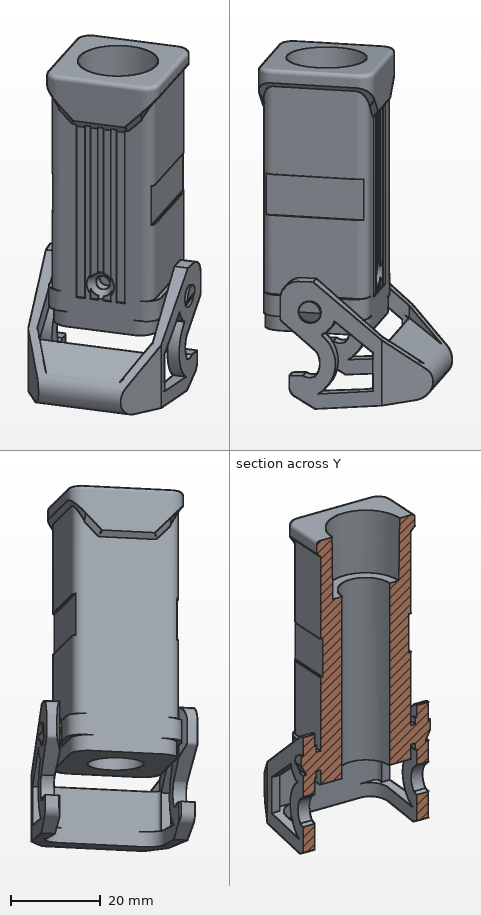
import cadquery as cq
import math

HOOD_HEIGHT = 60.4
BODY_WIDTH = 24.25
BODY_CORNER = 2.6

CAP_WIDTH = 26.4
CAP_CORNER = 3.4
CAP_TOP_ROUND = 1.0
CAP_SIDE_BOTTOM = 57.4
CAP_APRON_BOTTOM = 50.3
CAP_OVERHANG = (CAP_WIDTH - BODY_WIDTH) / 2
BEVEL_SLOPE = 1.2
BEVEL_OVERLAP = 1.5
CORNER_SECTIONS = 4

BLOCK_WIDTH = 26.3
BLOCK_BOTTOM = 3.6
BLOCK_TOP = 8.45
BLOCK_CORNER = 3.6
FOOT_CORNER = 4.15

BAND_BOTTOM = 26.55
BAND_TOP = 36.0
BAND_DEPTH = 0.5

RIB_WIDTH = 1.2
RIB_PITCH = 3.1
RIB_COUNT = 3
GROOVED_WIDTH = 11.5
GROOVE_BOTTOM = 7.4
GROOVE_DEPTH = 0.45

SCREW_HEIGHT = 11.0
SCREW_HEAD_RADIUS = 3.2
SCREW_RADIUS = 1.6
COUNTERSINK_DEPTH = 1.7
SCREW_DEPTH = 4.2

CABLE_RADIUS = 6.3
ENTRY_TOP_RADIUS = 9.0
ENTRY_FLOOR_RADIUS = 8.75
ENTRY_DEPTH = 15.35

PIVOT_HEIGHT = 6.0
WASHER_RADIUS = 4.0
PIN_RADIUS = 2.5
PIN_HALF_LENGTH = 17.3
PIN_FACE_TILT = 27.0

LATCH_REAR = 6.7
LATCH_FRONT = -26.55
LATCH_REAR_HALF_WIDTH = 17.3
LATCH_KNEE = -16.2
LATCH_KNEE_HALF_WIDTH = 15.65
LATCH_FRONT_HALF_WIDTH = 9.7
ARM_INSIDE = 13.6
LEAD_IN_LENGTH = 2.9
LEAD_IN_WIDTH = 1.3

LATCH_TOP = 13.0
TOP_EDGE_Y = -0.8
LATCH_TOP_ROUND = 4.15
LATCH_SLOPE = 0.83
ARM_REAR_LOW = 3.9
ARM_REAR_ROUND = 0.9
ARM_SLOPE = 0.80
TIP_ROUND = 3.9

HOOK_Y = 2.6
HOOK_Z = -5.75
HOOK_INSIDE_RADIUS = 4.8
HOOK_OUTSIDE_RADIUS = 8.4
HOOK_START_Y = -1.4
LIP_START_Y = -1.15
HOOK_END = 4.7
LIP_TOP = -8.9
LIP_DIP = (0.0, -9.1)
LIP_CREST = (1.5, -8.75)
LIP_BOTTOM = -12.9
LIP_ROUND = 2.7
HEEL_Y = -1.2
HEEL_Z = -16.35
BASE_SLOPE = 0.093

WINDOW_FRONT = -14.2
WINDOW_TOP_Y = -5.5
WINDOW_HOOK_Y = -2.7
WINDOW_HEEL_Y = -1.85
WINDOW_PIVOT_RADIUS = 5.8
BASE_BAR_HEIGHT = 3.45

WEB_REAR = -15.8
WEB_FRONT = -24.25
WEB_REAR_HEIGHT = -2.3
POCKET_FRONT_HALF_WIDTH = 8.7
WEB_CORNER = 0.9
BASE_CORNER = 4.5

LONG = 4 * HOOD_HEIGHT


def rounded_box(width_x, width_y, corner, bottom, top):
    """Upright box on the centre line with rounded vertical edges."""
    box = cq.Workplane("XY").workplane(offset=bottom).rect(width_x, width_y).extrude(top - bottom)
    return box.edges("|Z").fillet(corner)


def mirrored_outline(right_side):
    """Closed XY outline from its +X points, listed from rear to front."""
    left_side = [(-x, y) for x, y in reversed(right_side)]
    return cq.Workplane("XY").polyline(right_side + left_side).close()


def through_all(outline):
    """Extrude an outline both ways, far enough to pass right through the part."""
    return outline.extrude(LONG / 2, both=True)


def rim_height(x):
    """Height of the cap's lower rim, which falls at 45 degrees from each side to the apron."""
    return max(CAP_APRON_BOTTOM, CAP_SIDE_BOTTOM - (CAP_WIDTH / 2 - abs(x)))


def rim_outline(workplane):
    """Front outline of the cap and its aprons."""
    half = CAP_WIDTH / 2
    apron_half = half - (CAP_SIDE_BOTTOM - CAP_APRON_BOTTOM)
    return workplane.polyline([
        (half, HOOD_HEIGHT),
        (half, CAP_SIDE_BOTTOM),
        (apron_half, CAP_APRON_BOTTOM),
        (-apron_half, CAP_APRON_BOTTOM),
        (-half, CAP_SIDE_BOTTOM),
        (-half, HOOD_HEIGHT),
    ]).close()


def make_apron_bevel():
    """Bevel that leads the flat front of the apron down and in to the groove floors."""
    depth = CAP_OVERHANG + GROOVE_DEPTH
    spread = math.degrees(math.atan(BEVEL_SLOPE))
    front = cq.Workplane("XZ", origin=(0, -CAP_WIDTH / 2, 0))
    bevel = rim_outline(front).extrude(-depth, taper=-spread)
    flat_width = CAP_WIDTH - 2 * CAP_CORNER
    limits = cq.Workplane("XY").box(flat_width, LONG, HOOD_HEIGHT - CAP_TOP_ROUND, (True, True, False))
    return bevel.intersect(limits)


def make_corner_bevel():
    """Twisting bevel round the +X -Y corner, from nothing at the side to the full apron bevel."""
    cap_centre = CAP_WIDTH / 2 - CAP_CORNER
    body_centre = BODY_WIDTH / 2 - BODY_CORNER
    full_drop = CAP_OVERHANG * BEVEL_SLOPE * math.sqrt(2)
    sections = []
    for i in range(CORNER_SECTIONS):
        angle = math.pi / 2 * i / (CORNER_SECTIONS - 1)
        across, along = math.cos(angle), math.sin(angle)
        rim_x = cap_centre + CAP_CORNER * across
        rim = cq.Vector(rim_x, -cap_centre - CAP_CORNER * along, rim_height(rim_x))
        body_x = body_centre + BODY_CORNER * across
        body_z = rim_height(body_x) - full_drop * (1 - across)
        foot = cq.Vector(body_x, -body_centre - BODY_CORNER * along, body_z)
        embedded = rim + (foot - rim) * BEVEL_OVERLAP
        above = cq.Vector(embedded.x, embedded.y, rim.z)
        sections.append(cq.Wire.makePolygon([rim, embedded, above], close=True))
    return cq.Workplane(cq.Solid.makeLoft(sections))


def make_cap():
    """Collar with a rounded top, and bevelled aprons hanging down at the front and back."""
    collar = rounded_box(CAP_WIDTH, CAP_WIDTH, CAP_CORNER, CAP_APRON_BOTTOM, HOOD_HEIGHT)
    collar = collar.faces(">Z").edges().fillet(CAP_TOP_ROUND)
    collar = collar.intersect(through_all(rim_outline(cq.Workplane("XZ"))))
    corner = make_corner_bevel()
    bevel = make_apron_bevel().union(corner).union(corner.mirror("YZ"))
    return collar.union(bevel).union(bevel.mirror("XZ"))


def make_shell():
    foot = rounded_box(BODY_WIDTH, BODY_WIDTH, FOOT_CORNER, 0, BLOCK_BOTTOM)
    block = rounded_box(BLOCK_WIDTH, BODY_WIDTH, BLOCK_CORNER, BLOCK_BOTTOM, BLOCK_TOP)
    body = rounded_box(BODY_WIDTH, BODY_WIDTH, BODY_CORNER, BLOCK_TOP, HOOD_HEIGHT - CAP_TOP_ROUND)
    for side in (-1, 1):
        flat = cq.Workplane("XY").box(2 * BAND_DEPTH, BODY_WIDTH, BAND_TOP - BAND_BOTTOM)
        body = body.cut(flat.translate((side * BODY_WIDTH / 2, 0, (BAND_TOP + BAND_BOTTOM) / 2)))
    return foot.union(block).union(body)


def make_grooves():
    """Grooved panel on the -Y face, less the ribs left standing in it."""
    height = CAP_APRON_BOTTOM - GROOVE_BOTTOM
    depth = 2 * GROOVE_DEPTH
    grooves = cq.Workplane("XY").box(GROOVED_WIDTH, depth, height)
    for i in range(RIB_COUNT):
        rib_x = (i - (RIB_COUNT - 1) / 2) * RIB_PITCH
        rib = cq.Workplane("XY").box(RIB_WIDTH, depth, height).translate((rib_x, 0, 0))
        grooves = grooves.cut(rib)
    return grooves.translate((0, -BODY_WIDTH / 2, GROOVE_BOTTOM + height / 2))


def make_screw_hole():
    """Blind countersunk hole entering the -Y face."""
    half_section = cq.Workplane("XY").polyline([
        (0, 0),
        (SCREW_HEAD_RADIUS, 0),
        (SCREW_RADIUS, COUNTERSINK_DEPTH),
        (SCREW_RADIUS, SCREW_DEPTH),
        (0, SCREW_DEPTH),
    ]).close()
    hole = half_section.revolve(360, (0, 0, 0), (0, 1, 0))
    return hole.translate((0, -BODY_WIDTH / 2, SCREW_HEIGHT))


def make_cable_bore():
    """Straight bore through the hood with a wider, slightly tapered entry at the top."""
    floor = HOOD_HEIGHT - ENTRY_DEPTH
    half_section = cq.Workplane("XZ").polyline([
        (0, 0),
        (CABLE_RADIUS, 0),
        (CABLE_RADIUS, floor),
        (ENTRY_FLOOR_RADIUS, floor),
        (ENTRY_TOP_RADIUS, HOOD_HEIGHT),
        (0, HOOD_HEIGHT),
    ]).close()
    return half_section.revolve(360, (0, 0, 0), (0, 1, 0))


def make_hood():
    shell = make_shell().cut(make_grooves())
    hood = shell.union(make_cap())
    return hood.cut(make_screw_hole()).cut(make_cable_bore())


def slope_height(y):
    """Height of the latch's long front slope."""
    return LATCH_TOP - LATCH_SLOPE * (TOP_EDGE_Y - y)


def base_height(y):
    """Height of the latch's underside."""
    return HEEL_Z + BASE_SLOPE * (HEEL_Y - y)


def base_bar_top(y):
    return base_height(y) + BASE_BAR_HEIGHT


def on_circle(centre_y, centre_z, radius, y, sign):
    """Point at the given y on a circle in the YZ plane; sign picks the upper or lower one."""
    return y, centre_z + sign * math.sqrt(radius ** 2 - (y - centre_y) ** 2)


def make_side_profile():
    """Side shape of the latch, hook included, extruded across its width."""
    arm_end = on_circle(HOOK_Y, HOOK_Z, HOOK_INSIDE_RADIUS, HOOK_START_Y, 1)
    lip_start = on_circle(HOOK_Y, HOOK_Z, HOOK_INSIDE_RADIUS, LIP_START_Y, -1)
    hook_middle = (HOOK_Y - HOOK_INSIDE_RADIUS, HOOK_Z)
    profile = through_all(
        cq.Workplane("YZ")
        .moveTo(TOP_EDGE_Y, LATCH_TOP)
        .lineTo(LATCH_REAR, LATCH_TOP)
        .lineTo(LATCH_REAR, ARM_REAR_LOW)
        .lineTo(*arm_end)
        .threePointArc(hook_middle, lip_start)
        .threePointArc(LIP_DIP, LIP_CREST)
        .lineTo(HOOK_END, LIP_TOP)
        .lineTo(HOOK_END, LIP_BOTTOM)
        .lineTo(HEEL_Y, HEEL_Z)
        .lineTo(LATCH_FRONT, base_height(LATCH_FRONT))
        .lineTo(LATCH_FRONT, slope_height(LATCH_FRONT))
        .close()
    )
    rounded_corners = [
        (LATCH_REAR, LATCH_TOP, LATCH_TOP_ROUND),
        (LATCH_REAR, ARM_REAR_LOW, ARM_REAR_ROUND),
        (HOOK_END, LIP_BOTTOM, LIP_ROUND),
    ]
    for y, z, radius in rounded_corners:
        profile = profile.edges(cq.NearestToPointSelector((0, y, z))).fillet(radius)
    return profile.faces("<Y").edges("|X").fillet(TIP_ROUND)


def make_window():
    """Opening through both arms between the slope, the base bar and the hook."""
    def on_pivot_arc(y):
        return on_circle(0, PIVOT_HEIGHT, WINDOW_PIVOT_RADIUS, y, -1)

    pivot_start = on_pivot_arc(WINDOW_TOP_Y)
    pivot_middle = on_pivot_arc((WINDOW_HOOK_Y + WINDOW_TOP_Y) / 2)
    pivot_end = on_pivot_arc(WINDOW_HOOK_Y)
    hook_start = on_circle(HOOK_Y, HOOK_Z, HOOK_OUTSIDE_RADIUS, WINDOW_HOOK_Y, 1)
    hook_end = on_circle(HOOK_Y, HOOK_Z, HOOK_OUTSIDE_RADIUS, WINDOW_HEEL_Y, -1)
    hook_middle = (HOOK_Y - HOOK_OUTSIDE_RADIUS, HOOK_Z)
    front_top = pivot_start[1] - ARM_SLOPE * (WINDOW_TOP_Y - WINDOW_FRONT)
    return through_all(
        cq.Workplane("YZ")
        .moveTo(*pivot_start)
        .threePointArc(pivot_middle, pivot_end)
        .lineTo(*hook_start)
        .threePointArc(hook_middle, hook_end)
        .lineTo(WINDOW_FRONT, base_bar_top(WINDOW_FRONT))
        .lineTo(WINDOW_FRONT, front_top)
        .close()
    )


def make_gap(corner):
    """Space between the arms, bevelled at the rear, with the given rounding beside the web."""
    gap = through_all(mirrored_outline([
        (ARM_INSIDE + LEAD_IN_WIDTH, LATCH_REAR),
        (ARM_INSIDE, LATCH_REAR - LEAD_IN_LENGTH),
        (ARM_INSIDE, WEB_REAR),
    ]))
    return gap.faces("<Y").edges("|Z").fillet(corner)


def above_base_bar():
    """Everything higher than the top of the arms' base bars."""
    return through_all(cq.Workplane("YZ").polyline([
        (LATCH_FRONT, base_bar_top(LATCH_FRONT)),
        (LATCH_REAR, base_bar_top(LATCH_REAR)),
        (LATCH_REAR, LATCH_TOP),
        (LATCH_FRONT, LATCH_TOP),
    ]).close())


def make_pocket():
    """Recess between the arms whose floor slopes down to meet the long slope near the tip."""
    plan = through_all(mirrored_outline([
        (ARM_INSIDE, LATCH_REAR - LEAD_IN_LENGTH),
        (ARM_INSIDE, WEB_REAR),
        (POCKET_FRONT_HALF_WIDTH, WEB_FRONT),
    ]))
    front_height = slope_height(WEB_FRONT)
    floor_slope = (WEB_REAR_HEIGHT - front_height) / (WEB_REAR - WEB_FRONT)
    rear_height = front_height + floor_slope * (LATCH_REAR - WEB_FRONT)
    above_floor = through_all(cq.Workplane("YZ").polyline([
        (WEB_FRONT, front_height),
        (LATCH_REAR, rear_height),
        (LATCH_REAR, LATCH_TOP),
        (WEB_FRONT, LATCH_TOP),
    ]).close())
    return plan.intersect(above_floor)


def make_latch():
    plan = through_all(mirrored_outline([
        (LATCH_REAR_HALF_WIDTH, LATCH_REAR),
        (LATCH_KNEE_HALF_WIDTH, LATCH_KNEE),
        (LATCH_FRONT_HALF_WIDTH, LATCH_FRONT),
    ]))
    latch = make_side_profile().intersect(plan)
    latch = latch.cut(make_gap(BASE_CORNER))
    latch = latch.cut(make_gap(WEB_CORNER).intersect(above_base_bar()))
    return latch.cut(make_pocket()).cut(make_window())


def cross_cylinder(radius, inner, outer, side):
    """Cylinder on the pivot axis between two distances from the middle, on one side."""
    disc = cq.Workplane("YZ").center(0, PIVOT_HEIGHT).circle(radius).extrude(outer - inner)
    start = inner if side > 0 else -outer
    return disc.translate((start, 0, 0))


def make_pivot(side):
    """Washer between hood and arm, and the pin through the arm."""
    washer = cross_cylinder(WASHER_RADIUS, BLOCK_WIDTH / 2, ARM_INSIDE, side)
    return washer.union(cross_cylinder(PIN_RADIUS, BLOCK_WIDTH / 2, PIN_HALF_LENGTH, side))


def make_pin_relief(side):
    """Wedge that tilts the lower half of a pin's end face into the arm."""
    fall = PIN_RADIUS * math.tan(math.radians(PIN_FACE_TILT))
    wedge = cq.Workplane("XZ").polyline([
        (side * PIN_HALF_LENGTH, PIVOT_HEIGHT),
        (side * (PIN_HALF_LENGTH - fall), PIVOT_HEIGHT - PIN_RADIUS),
        (side * PIN_HALF_LENGTH, PIVOT_HEIGHT - PIN_RADIUS),
    ]).close().extrude(PIN_RADIUS, both=True)
    return wedge.intersect(cross_cylinder(PIN_RADIUS, ARM_INSIDE, PIN_HALF_LENGTH, side))


part = make_hood().union(make_latch())
for side in (-1, 1):
    part = part.union(make_pivot(side)).cut(make_pin_relief(side))
result = part